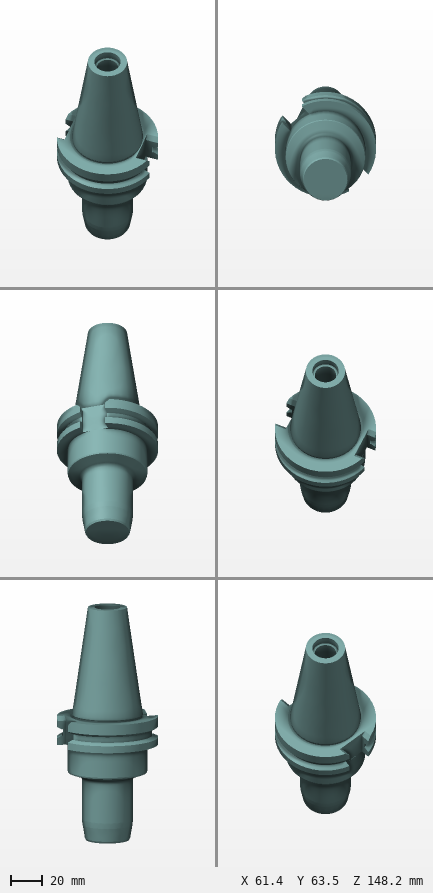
import cadquery as cq
import math

total_height = 148.2

nose_radius = 16.0
tip_radius = 13.6
tip_chamfer_radius = 14.2
tip_chamfer_height = 1.2
nose_taper_top = 9.6
nose_cylinder_bottom = 13.3
nose_taper_angle = math.radians(10)

body_radius = 50.0 / 2
body_chamfer_top = 44.0
body_chamfer_bottom = 43.1
body_chamfer_width = 0.3
shoulder_angle = math.radians(20)
neck_fillet = 2.5
neck_fillet_bottom = 38.2

flange_radius = 63.5 / 2
flange_bottom = 61.1
flange_top = 79.0
groove_floor_radius = 28.0
groove_lower_edge = 65.5
groove_lip_bottom = 67.2
groove_lip_top = 70.7
groove_upper_edge = 72.5
groove_lip_radius = 28.6
groove_undercut = 0.6

relief_radius = 43.9 / 2
relief_rim_radius = 23.5
relief_bottom = 78.4
relief_top = 79.5
taper_bottom = 80.0
taper_large_radius = 22.2
taper_small_radius = 12.3

slot_width = 16.3
slot_chamfer = 2.7
left_slot_floor = 24.8
right_slot_floor = 22.5

counterbore_radius = 16.5 / 2
counterbore_depth = 5.3
bore_radius = 13.5 / 2
bore_depth = 29.6
drill_half_angle = math.radians(59)


def make_turned_body():
    bend_height = nose_cylinder_bottom - nose_taper_top
    bend_radius = bend_height / math.sin(nose_taper_angle)
    bend_end_radius = nose_radius - bend_radius * (1 - math.cos(nose_taper_angle))

    fillet_end_radius = nose_radius + neck_fillet * (1 - math.sin(shoulder_angle))
    fillet_end_height = neck_fillet_bottom + neck_fillet * math.cos(shoulder_angle)
    shoulder_radius = body_radius - body_chamfer_width

    profile = (
        cq.Workplane("XZ")
        .moveTo(0, 0)
        .lineTo(tip_radius, 0)
        .lineTo(tip_chamfer_radius, tip_chamfer_height)
        .lineTo(bend_end_radius, nose_taper_top)
        .radiusArc((nose_radius, nose_cylinder_bottom), -bend_radius)
        .lineTo(nose_radius, neck_fillet_bottom)
        .radiusArc((fillet_end_radius, fillet_end_height), neck_fillet)
        .lineTo(shoulder_radius, body_chamfer_bottom)
        .lineTo(body_radius, body_chamfer_top)
        .lineTo(body_radius, flange_bottom)
        .lineTo(flange_radius, flange_bottom)
        .lineTo(flange_radius, groove_lower_edge)
        .lineTo(groove_lip_radius, groove_lip_bottom)
        .lineTo(groove_floor_radius, groove_lip_bottom - groove_undercut)
        .lineTo(groove_floor_radius, groove_lip_top + groove_undercut)
        .lineTo(groove_lip_radius, groove_lip_top)
        .lineTo(flange_radius, groove_upper_edge)
        .lineTo(flange_radius, flange_top)
        .lineTo(relief_rim_radius, flange_top)
        .lineTo(relief_radius, relief_bottom)
        .lineTo(relief_radius, relief_top)
        .lineTo(taper_large_radius, taper_bottom)
        .lineTo(taper_small_radius, total_height)
        .lineTo(0, total_height)
        .close()
    )
    return profile.revolve(360, (0, 0, 0), (0, 1, 0))


def make_slot_cutter(side, floor_distance):
    """Slot through the flange on the +X (side = 1) or -X (side = -1) side, widened at the top."""
    half_width = slot_width / 2
    half_mouth = half_width + slot_chamfer
    return (
        cq.Workplane("YZ", origin=(side * floor_distance, 0, 0))
        .moveTo(-half_width, flange_bottom)
        .lineTo(half_width, flange_bottom)
        .lineTo(half_width, flange_top - slot_chamfer)
        .lineTo(half_mouth, flange_top)
        .lineTo(-half_mouth, flange_top)
        .lineTo(-half_width, flange_top - slot_chamfer)
        .close()
        .extrude(side * flange_radius)
    )


def make_drawbar_hole():
    bore_bottom = total_height - bore_depth
    ledge = total_height - counterbore_depth
    point_bottom = bore_bottom - bore_radius / math.tan(drill_half_angle)
    return (
        cq.Workplane("XZ")
        .moveTo(0, point_bottom)
        .lineTo(bore_radius, bore_bottom)
        .lineTo(bore_radius, ledge)
        .lineTo(counterbore_radius, ledge)
        .lineTo(counterbore_radius, total_height)
        .lineTo(0, total_height)
        .close()
        .revolve(360, (0, 0, 0), (0, 1, 0))
    )


result = (
    make_turned_body()
    .cut(make_slot_cutter(-1, left_slot_floor))
    .cut(make_slot_cutter(1, right_slot_floor))
    .cut(make_drawbar_hole())
)